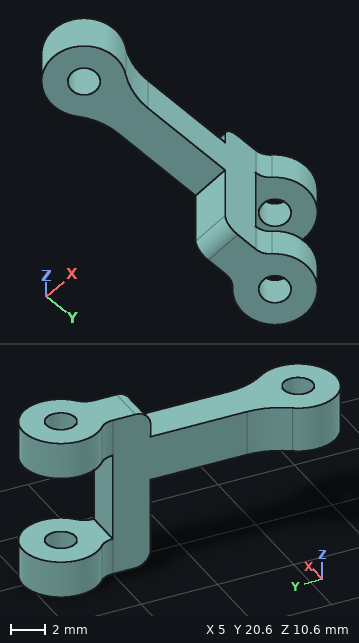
import cadquery as cq
import math

total_length = 20.55
total_height = 10.6
eye_diameter = 5.0
hole_diameter = 1.9
bar_width = 2.5
lug_thickness = 2.43
arm_thickness = 2.98
arm_top_drop = 1.8
column_front = 7.77
column_rear = 5.28
column_edge_radius = 1.0
lug_neck_radius = 1.25
arm_neck_radius = 4.52

eye_radius = eye_diameter / 2
half_width = bar_width / 2
rear_end = total_length / 2
rear_eye_y = rear_end - eye_radius
front_eye_y = -rear_eye_y
column_front_y = rear_end - column_front
column_rear_y = rear_end - column_rear
column_middle_y = (column_front_y + column_rear_y) / 2
bottom = -total_height / 2
top = total_height / 2


def eye_link(eye_y, root_y, neck_radius, base_z, thickness):
    """Drilled round eye blended tangentially into a bar that ends at root_y."""
    toward_root = math.copysign(1, root_y - eye_y)
    blend_x = half_width + neck_radius
    center_distance = eye_radius + neck_radius
    blend_offset = math.sqrt(center_distance**2 - blend_x**2)
    blend_y = eye_y + toward_root * blend_offset

    touch_x = blend_x * eye_radius / center_distance
    touch_y = eye_y + toward_root * blend_offset * eye_radius / center_distance
    half_angle = math.atan2(blend_offset, blend_x) / 2
    middle_x = blend_x - neck_radius * math.cos(half_angle)
    middle_y = blend_y - toward_root * neck_radius * math.sin(half_angle)

    return (
        cq.Workplane("XY", origin=(0, 0, base_z))
        .moveTo(half_width, root_y)
        .lineTo(half_width, blend_y)
        .threePointArc((middle_x, middle_y), (touch_x, touch_y))
        .threePointArc((0, eye_y - toward_root * eye_radius), (-touch_x, touch_y))
        .threePointArc((-middle_x, middle_y), (-half_width, blend_y))
        .lineTo(-half_width, root_y)
        .close()
        .extrude(thickness)
        .cut(
            cq.Workplane("XY", origin=(0, eye_y, base_z))
            .circle(hole_diameter / 2)
            .extrude(thickness)
        )
    )


column = (
    cq.Workplane("XY")
    .box(bar_width, column_rear_y - column_front_y, total_height)
    .translate((0, column_middle_y, 0))
    .faces("<Y")
    .edges("|X")
    .fillet(column_edge_radius)
)

result = column
for lug_base in (bottom, top - lug_thickness):
    lug = eye_link(rear_eye_y, column_middle_y, lug_neck_radius, lug_base, lug_thickness)
    result = result.union(lug)

arm_base = top - arm_top_drop - arm_thickness
arm = eye_link(front_eye_y, column_middle_y, arm_neck_radius, arm_base, arm_thickness)
result = result.union(arm)